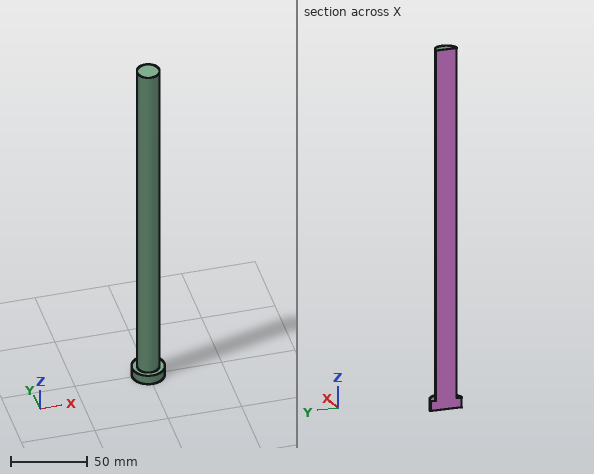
import cadquery as cq

overall_length = 250.0
head_diameter = 22.0
head_height = 7.0
shank_diameter = 15.0


def make_head():
    """Flat round head standing on the XY plane."""
    return cq.Workplane("XY").circle(head_diameter / 2).extrude(head_height)


def make_shank():
    """Plain round shank running from the flat base through the head to the far end."""
    return cq.Workplane("XY").circle(shank_diameter / 2).extrude(overall_length)


result = make_head().union(make_shank())